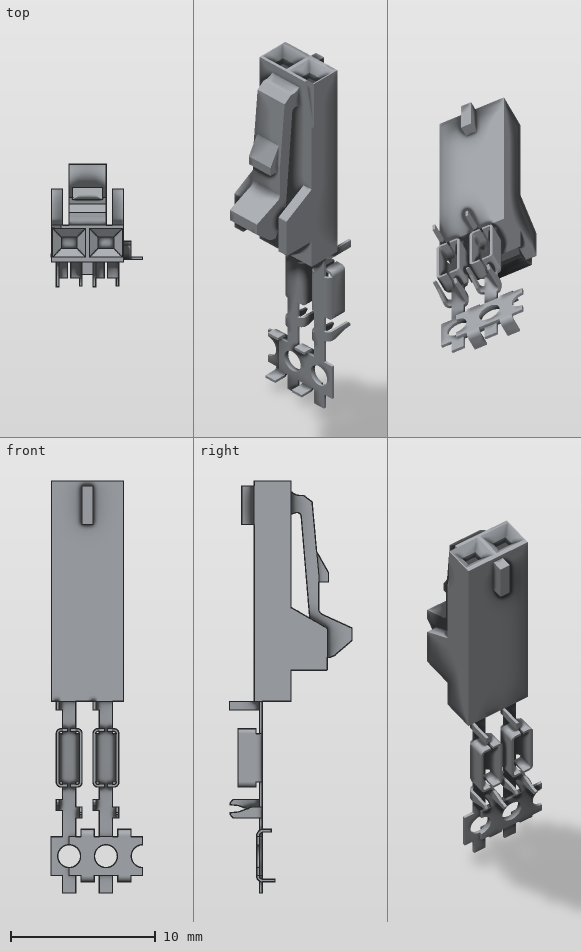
import cadquery as cq
import math

TOTAL_HEIGHT = 28.45
CARRIER_LENGTH = 6.35
PITCH = CARRIER_LENGTH / 2.5
TERMINAL_XS = (-PITCH / 2, PITCH / 2)

HOUSING_WIDTH = 4.98
HOUSING_DEPTH = 2.55
HOUSING_HEIGHT = 15.22
CAVITY_WIDTH = 2.28
CAVITY_LENGTH = 2.0
CAVITY_FRONT_WALL = 0.35
FUNNEL_DEPTH = 0.57
SOCKET_SIZE = (1.08, 0.77)
SOCKET_DEPTH = 1.05
RAMP_WIDTH = 0.65
RAMP_DEPTH = 0.23
RAMP_HEIGHT = 3.6
KEY_WIDTH = 0.77
KEY_REACH = 0.85
KEY_HEIGHT = 2.67
KEY_TOP_GAP = 0.35

RIB_WIDTH = 0.77
RIB_BACK = 5.05
RIB_BOTTOM = 2.13
RIB_SHOULDER = 5.04
RIB_TOP = 6.5
RIB_ROUND = 0.1

LATCH_WIDTH = 2.6
LATCH_BACK = 6.77
TOOTH_WIDTH = 2.08
TOOTH_BACK = 5.15
ARM_OUTER = 4.47

SHEET = 0.2
STEM_WIDTH = 0.95
STEM_BACK = 0.57
STEM_BOTTOM = HOUSING_HEIGHT - TOTAL_HEIGHT
WING_SPAN = 1.8
BEND_RADIUS = (WING_SPAN - STEM_WIDTH) / 2
STOP_HEIGHT = 0.6
STOP_FRONT = -1.7
BARREL_TOP = -1.88
BARREL_HEIGHT = 4.05
BARREL_FRONT = -1.1
BARREL_ROUND = 0.35
BARREL_GAP = 0.2
PRONG_TOP = -6.77
PRONG_HEIGHT = 0.77
PRONG_STAGGER = 0.5
PRONG_FRONT = -1.65
CARRIER_TOP = -9.33
CARRIER_HEIGHT = 2.7
PILOT_DIAMETER = 1.56
UPPER_EAR_RISE = 0.5
LOWER_EAR_RISE = 0.43
UPPER_EAR_BACK = 1.2
LOWER_EAR_BACK = 1.45
CARRIER_MID_Z = CARRIER_TOP - CARRIER_HEIGHT / 2
CARRIER_BACK = STEM_BACK - SHEET


def block(x0, x1, y0, y1, z0, z1):
    """Box between the given limits."""
    return cq.Workplane("XY").box(x1 - x0, y1 - y0, z1 - z0, centered=False).translate((x0, y0, z0))


def extrude_x(profile, center_x, width):
    """Extrude a closed YZ outline to the given width about center_x."""
    return profile.extrude(width / 2, both=True).translate((center_x, 0, 0))


def housing():
    """Block with two funnel-mouthed sockets, a ramped back corner and a key on the front."""
    body = block(-HOUSING_WIDTH / 2, HOUSING_WIDTH / 2, 0, HOUSING_DEPTH, 0, HOUSING_HEIGHT)
    cavity_y = CAVITY_FRONT_WALL + CAVITY_LENGTH / 2
    for x in TERMINAL_XS:
        funnel = (
            cq.Workplane("XY", origin=(x, cavity_y, HOUSING_HEIGHT))
            .rect(CAVITY_WIDTH, CAVITY_LENGTH)
            .workplane(offset=-FUNNEL_DEPTH)
            .rect(*SOCKET_SIZE)
            .loft()
        )
        socket = (
            cq.Workplane("XY", origin=(x, cavity_y, HOUSING_HEIGHT))
            .rect(*SOCKET_SIZE)
            .extrude(-SOCKET_DEPTH)
        )
        body = body.cut(funnel).cut(socket)
    left = -HOUSING_WIDTH / 2
    ramp = (
        cq.Workplane("XZ", origin=(0, HOUSING_DEPTH, 0))
        .polyline([
            (left, HOUSING_HEIGHT - RAMP_HEIGHT),
            (left, HOUSING_HEIGHT),
            (left + RAMP_WIDTH, HOUSING_HEIGHT),
        ])
        .close()
        .extrude(RAMP_DEPTH)
    )
    key_top = HOUSING_HEIGHT - KEY_TOP_GAP
    key = block(-KEY_WIDTH / 2, KEY_WIDTH / 2, -KEY_REACH, 0, key_top - KEY_HEIGHT, key_top)
    return body.cut(ramp).union(key)


def guard_ribs():
    """One rib flush with each side of the housing, sloped on top."""
    outline = [
        (HOUSING_DEPTH, RIB_BOTTOM),
        (RIB_BACK, RIB_BOTTOM),
        (RIB_BACK, RIB_SHOULDER),
        (HOUSING_DEPTH, RIB_TOP),
    ]
    ribs = cq.Workplane("XY")
    for side in (-1, 1):
        center_x = side * (HOUSING_WIDTH - RIB_WIDTH) / 2
        rib = extrude_x(cq.Workplane("YZ").polyline(outline).close(), center_x, RIB_WIDTH)
        ribs = ribs.union(rib.edges("|X and >Y").fillet(RIB_ROUND))
    return ribs


def latch():
    """Springy arm from the top of the housing to a thumb press, with a catch tooth on its back."""
    arm_top = 14.22
    press_bottom = 3.02
    arm = (
        cq.Workplane("YZ")
        .moveTo(HOUSING_DEPTH, 14.48)
        .threePointArc((2.8, 14.3), (3.1, arm_top))
        .lineTo(3.4, arm_top)
        .lineTo(4.0, 13.77)
        .lineTo(ARM_OUTER, 8.8)
        .lineTo(ARM_OUTER, 6.37)
        .threePointArc((4.55, 6.15), (4.78, 5.97))
        .lineTo(LATCH_BACK, 5.05)
        .lineTo(LATCH_BACK, 4.2)
        .lineTo(5.55, 3.15)
        .lineTo(5.2, press_bottom)
        .lineTo(4.9, press_bottom)
        .lineTo(3.9, 4.98)
        .lineTo(3.25, 12.8)
        .threePointArc((3.13, 12.97), (2.93, 13.03))
        .lineTo(HOUSING_DEPTH, 12.92)
        .close()
    )
    overlap = 0.28
    tooth_bottom = 8.22
    tooth_outline = [
        (4.3, 10.38),
        (TOOTH_BACK, 8.88),
        (TOOTH_BACK, tooth_bottom),
        (ARM_OUTER - overlap, tooth_bottom),
    ]
    tooth = cq.Workplane("YZ").polyline(tooth_outline).close()
    return extrude_x(arm, 0, LATCH_WIDTH).union(extrude_x(tooth, 0, TOOTH_WIDTH))


def wing(side, front, top, height):
    """Sheet strip that leaves one stem edge, bends forward and runs to Y = front."""
    outer = WING_SPAN / 2
    edge = outer - BEND_RADIUS
    bend_y = STEM_BACK - BEND_RADIUS
    inner_radius = BEND_RADIUS - SHEET
    diagonal = math.sqrt(0.5)
    strip = (
        cq.Workplane("XY", origin=(0, 0, top - height))
        .moveTo(0, STEM_BACK)
        .lineTo(edge, STEM_BACK)
        .threePointArc((edge + BEND_RADIUS * diagonal, bend_y + BEND_RADIUS * diagonal), (outer, bend_y))
        .lineTo(outer, front)
        .lineTo(outer - SHEET, front)
        .lineTo(outer - SHEET, bend_y)
        .threePointArc(
            (edge + inner_radius * diagonal, bend_y + inner_radius * diagonal),
            (edge, STEM_BACK - SHEET),
        )
        .lineTo(0, STEM_BACK - SHEET)
        .close()
        .extrude(height)
    )
    return strip if side > 0 else strip.mirror("YZ")


def crimp_barrel():
    """Two wings whose upper and lower edges curl in towards each other."""
    length = STEM_BACK - BEND_RADIUS - BARREL_FRONT
    wall_height = BARREL_HEIGHT - 2 * BARREL_ROUND
    mid_z = BARREL_TOP - BARREL_HEIGHT / 2
    ring = (
        cq.Workplane("XY")
        .box(WING_SPAN, length, BARREL_HEIGHT)
        .edges("|Y")
        .fillet(BARREL_ROUND)
    )
    opening = (
        cq.Workplane("XY")
        .box(WING_SPAN - 2 * SHEET, length, BARREL_HEIGHT - 2 * SHEET)
        .edges("|Y")
        .fillet(BARREL_ROUND - SHEET)
    )
    gap = cq.Workplane("XY").box(BARREL_GAP, length, BARREL_HEIGHT)
    barrel = ring.cut(opening).cut(gap).translate((0, BARREL_FRONT + length / 2, mid_z))
    for side in (-1, 1):
        barrel = barrel.union(wing(side, BARREL_FRONT, BARREL_TOP - BARREL_ROUND, wall_height))
    return barrel


def prong():
    """Left insulation prong, tapered along its lower edge to a blunt tip."""
    bottom = PRONG_TOP - PRONG_HEIGHT
    outline = [
        (STEM_BACK, PRONG_TOP),
        (-1.45, PRONG_TOP),
        (PRONG_FRONT, PRONG_TOP - 0.23),
        (PRONG_FRONT, PRONG_TOP - 0.37),
        (-1.08, PRONG_TOP - 0.43),
        (-0.15, bottom),
        (STEM_BACK, bottom),
    ]
    taper = extrude_x(cq.Workplane("YZ").polyline(outline).close(), 0, WING_SPAN)
    return wing(-1, PRONG_FRONT, PRONG_TOP, PRONG_HEIGHT).intersect(taper)


def terminal():
    """Terminal about X = 0, from the housing floor down to the end of its stem."""
    embed = 1.42
    stem = block(-STEM_WIDTH / 2, STEM_WIDTH / 2, STEM_BACK - SHEET, STEM_BACK, STEM_BOTTOM, embed)
    left_prong = prong()
    prong_mid_z = PRONG_TOP - (PRONG_HEIGHT + PRONG_STAGGER) / 2
    right_prong = left_prong.rotate((0, 0, prong_mid_z), (0, 1, prong_mid_z), 180)
    return (
        stem.union(wing(-1, STOP_FRONT, 0, STOP_HEIGHT))
        .union(crimp_barrel())
        .union(left_prong)
        .union(right_prong)
    )


def ear(center_x, rise, back):
    """Ear that rises from the top edge of the carrier and bends to the back."""
    front = CARRIER_BACK - SHEET
    top = CARRIER_TOP + rise
    flat = 0.03
    bend = rise - flat
    outline = (
        cq.Workplane("YZ")
        .polyline([
            (front, CARRIER_TOP), (front, top), (back, top),
            (back, top - SHEET), (CARRIER_BACK, top - SHEET), (CARRIER_BACK, CARRIER_TOP),
        ])
        .close()
    )
    solid = extrude_x(outline, center_x, STEM_WIDTH)
    solid = solid.edges(cq.selectors.NearestToPointSelector((center_x, front, top))).fillet(bend)
    inner = cq.selectors.NearestToPointSelector((center_x, CARRIER_BACK, top - SHEET))
    return solid.edges(inner).fillet(bend - SHEET)


def carrier():
    """Strip in two layers: the front one sits half a pitch further right."""
    bottom = CARRIER_TOP - CARRIER_HEIGHT
    strip = cq.Workplane("XY")
    for x in TERMINAL_XS:
        back_link = block(x - PITCH / 2, x + PITCH / 2, CARRIER_BACK, STEM_BACK, bottom, CARRIER_TOP)
        front_link = block(x, x + PITCH, CARRIER_BACK - SHEET, CARRIER_BACK, bottom, CARRIER_TOP)
        ear_x = x + PITCH / 2
        lower = ear(ear_x, LOWER_EAR_RISE, LOWER_EAR_BACK).mirror("XY", (0, 0, CARRIER_MID_Z))
        upper = ear(ear_x, UPPER_EAR_RISE, UPPER_EAR_BACK)
        strip = strip.union(back_link).union(front_link).union(upper).union(lower)
    return strip


def pilot_holes():
    """Cutters for the round holes, the last one halved by the end of the strip."""
    centers = [(x, CARRIER_MID_Z) for x in (*TERMINAL_XS, TERMINAL_XS[1] + PITCH)]
    return (
        cq.Workplane("XZ", origin=(0, STEM_BACK, 0))
        .pushPoints(centers)
        .circle(PILOT_DIAMETER / 2)
        .extrude(2 * SHEET)
    )


metal = carrier()
for terminal_x in TERMINAL_XS:
    metal = metal.union(terminal().translate((terminal_x, 0, 0)))
metal = metal.cut(pilot_holes())

result = housing().union(guard_ribs()).union(latch()).union(metal)